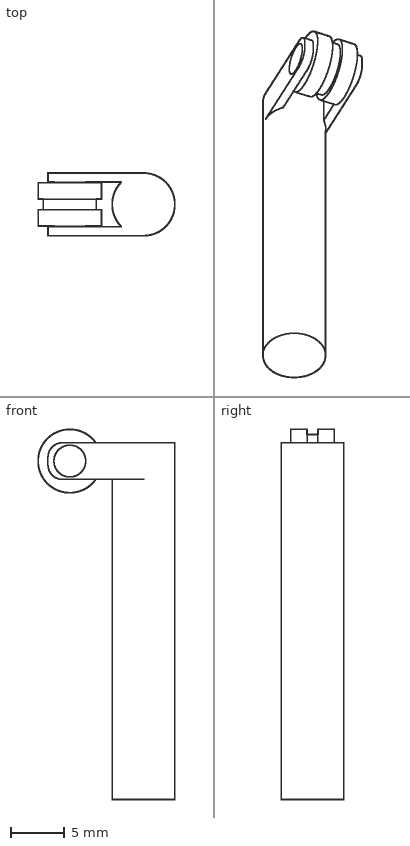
import cadquery as cq

post_diameter = 5.9
post_radius = post_diameter / 2

roller_diameter = 6.0
groove_diameter = 5.0
groove_width = 1.0
roller_width = 4.1
pin_diameter = 3.0
overall_height = 34.8
axle_x = -6.92
axle_z = overall_height - roller_diameter / 2

arm_height = 3.45
fork_gap = 4.17
fork_width = post_diameter
arm_tip_x = -8.98
arm_corner_radius = 1.35
fork_top = axle_z + arm_height / 2
fork_bottom = fork_top - arm_height


def cylinder_on_axle(diameter, length):
    """Cylinder along the roller axle, centred between the arms."""
    return (
        cq.Workplane("XZ", origin=(axle_x, length / 2, axle_z))
        .circle(diameter / 2)
        .extrude(length)
    )


def make_fork_arms():
    """Two parallel arms with rounded tips, ending at the post's centre plane."""
    block = (
        cq.Workplane("XY", origin=(0, 0, fork_bottom))
        .moveTo(arm_tip_x / 2, 0)
        .rect(-arm_tip_x, fork_width)
        .extrude(arm_height)
        .edges("<X and |Y")
        .fillet(arm_corner_radius)
    )
    gap = (
        cq.Workplane("XY", origin=(0, 0, fork_bottom))
        .moveTo(arm_tip_x / 2, 0)
        .rect(-arm_tip_x, fork_gap)
        .extrude(arm_height)
    )
    return block.cut(gap)


def make_holder():
    """Post and fork in one piece, with pin holes through both arms."""
    post = cq.Workplane("XY").circle(post_radius).extrude(fork_top)
    pin_hole = cylinder_on_axle(pin_diameter, fork_width)
    return post.union(make_fork_arms()).cut(pin_hole)


def make_roller():
    """Grooved roller with pin ends flush with the outer faces of the arms."""
    rims = cylinder_on_axle(roller_diameter, roller_width)
    rims = rims.cut(cylinder_on_axle(roller_diameter, groove_width))
    groove_floor = cylinder_on_axle(groove_diameter, groove_width)
    pin = cylinder_on_axle(pin_diameter, fork_width)
    return rims.union(groove_floor).union(pin)


holder = make_holder()
roller = make_roller()

result = cq.Compound.makeCompound([holder.val(), roller.val()])